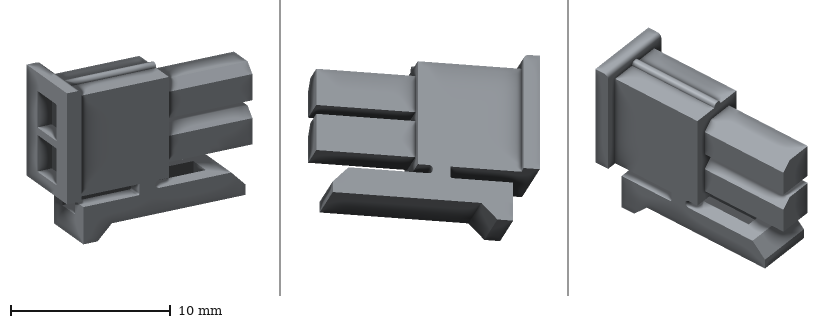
import cadquery as cq

total_length = 14.0

flange_width = 5.28
flange_height = 7.55
flange_thickness = 1.04
flange_top_radius = 0.31

body_width = 3.86
body_height = 6.85
body_back = 7.66

rib_radius = 0.31
rib_offset_x = -0.04

contact_pitch = 3.0
finger_size = 2.41
finger_chamfer = 0.63
lower_finger_bottom = 0.71
socket_size = 2.49
socket_depth = flange_thickness
lower_socket_bottom = 0.8

lever_front = 1.55
lever_back = 13.1
lever_top = -0.55
lever_front_top = -0.75
lever_bottom = -2.27
hook_bottom = -3.29
hook_tip_length = 1.01
lever_back_chamfer = 1.01
stem_front = 5.56
stem_back = 6.69
stem_front_radius = 0.11
stem_back_radius = -lever_top / 2

groove_width = 1.65
groove_floor = -1.65
groove_back = 10.89


def block(width, y_start, y_end, z_bottom, z_top):
    """Box centred on X between the given Y and Z limits."""
    return (
        cq.Workplane("XY")
        .box(width, y_end - y_start, z_top - z_bottom, centered=(True, False, False))
        .translate((0, y_start, z_bottom))
    )


def make_flange():
    flange = block(flange_width, 0, flange_thickness, 0, flange_height)
    return flange.edges(">Y and >Z").fillet(flange_top_radius)


def make_body():
    body = block(body_width, flange_thickness, body_back, 0, body_height)
    rib = (
        cq.Workplane("XZ", origin=(rib_offset_x, flange_thickness, body_height))
        .circle(rib_radius)
        .extrude(flange_thickness - body_back)
    )
    return body.union(rib)


def make_finger(z_bottom):
    finger = block(finger_size, body_back, total_length, z_bottom, z_bottom + finger_size)
    return finger.edges(">X and >Z").chamfer(finger_chamfer)


def make_socket(z_bottom):
    return block(socket_size, 0, socket_depth, z_bottom, z_bottom + socket_size)


def make_lever():
    hook_slope = lever_bottom - hook_bottom
    hook_tip = lever_front + hook_tip_length
    profile = (
        cq.Workplane("YZ")
        .moveTo(stem_front, 0)
        .lineTo(stem_front, lever_front_top + stem_front_radius)
        .radiusArc((stem_front - stem_front_radius, lever_front_top), stem_front_radius)
        .lineTo(lever_front, lever_front_top)
        .lineTo(lever_front, hook_bottom)
        .lineTo(hook_tip, hook_bottom)
        .lineTo(hook_tip + hook_slope, lever_bottom)
        .lineTo(lever_back, lever_bottom)
        .lineTo(lever_back, lever_top - lever_back_chamfer)
        .lineTo(lever_back - lever_back_chamfer, lever_top)
        .lineTo(stem_back + stem_back_radius, lever_top)
        .threePointArc((stem_back, lever_top / 2), (stem_back + stem_back_radius, 0))
        .close()
    )
    lever = profile.extrude(body_width / 2, both=True)
    groove = block(groove_width, lever_front, groove_back, groove_floor, 0)
    return lever.cut(groove)


result = make_flange().union(make_body()).union(make_lever())
for position in range(2):
    rise = position * contact_pitch
    result = result.union(make_finger(lower_finger_bottom + rise))
    result = result.cut(make_socket(lower_socket_bottom + rise))